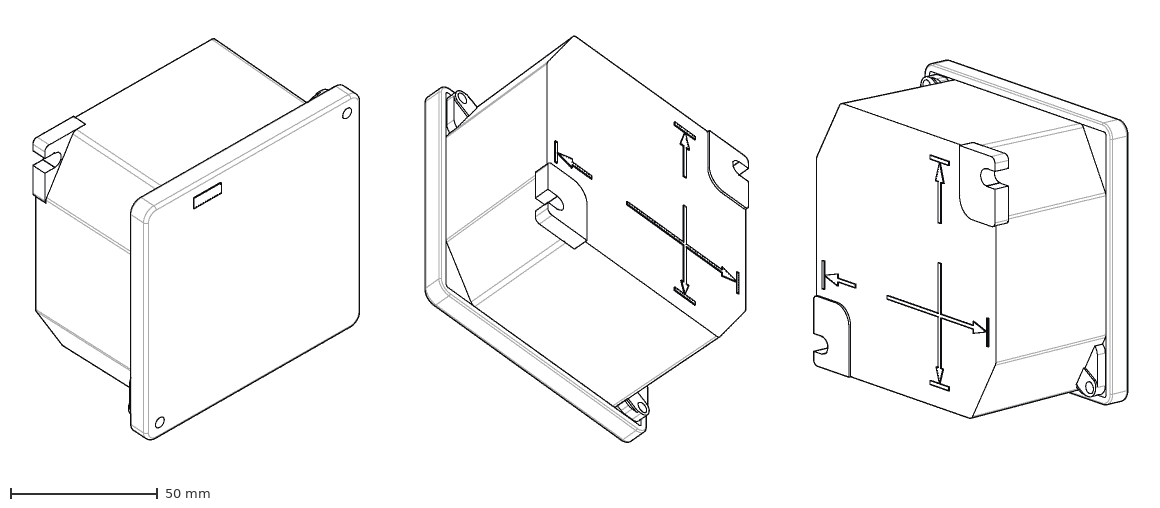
import cadquery as cq
import math

FACE_X = 0.8
MARK_X = 0.4
FOOT_X = 6.0
SCREW_PAD_X = 45.9
EAR_X = 46.6
LID_REAR_X = 50.1
LID_FRONT_X = 58.1
LABEL_X = 58.5

LID_SIZE = 100.2
LID_CORNER_RADIUS = 4.8
LID_FRONT_RADIUS = 1.2
LID_REAR_RADIUS = 0.6
LABEL_LENGTH = 12.6
LABEL_HEIGHT = 4.5
LABEL_CENTRE_Y = -21.6
LABEL_CENTRE_Z = 42.8

RIM_SIZE = 94.4
RIM_DEPTH = 4.0
RIM_CORNER_RADIUS = 0.9

BOX_HALF = 48.1
BOX_DRAFT = 1.0
CUT_ANGLE = math.radians(60)
CUT_Y = 13.0
CUT_Z = CUT_Y * math.tan(CUT_ANGLE)
BOX_EDGE_RADIUS = 2.0

EAR_HALF = 46.9
EAR_CORNER_RADIUS = 4.0
EAR_SPAN = (1.9, 21.4)
EAR_END_RADIUS = 3.5
SCREW_PAD_SPAN = (12.1, 20.0)
SCREW_PAD_END_RADIUS = 2.5
EAR_ROOT = 45.1
SCREW_PLACE = 43.6
SCREW_DIAMETER = 4.1

FOOT_OUTER_Y = 48.6
FOOT_INNER_Y = 29.6
FOOT_TOP_Z = 48.1
FOOT_BOTTOM_Z = 23.2
FOOT_INNER_RADIUS = 7.0
FOOT_CORNER_RADIUS = 2.0
FOOT_SIDE_RADIUS = 1.7
SLOT_Y = 44.0
SLOT_Z = 40.1
SLOT_END_DIAMETER = 6.0
SLOT_MOUTH_WIDTH = 6.3

SHAFT_WIDTH = 1.3
END_BAR_LENGTH = 10.0
ACROSS_Z = -15.1
ACROSS_BAR_WIDTH = 1.0
ACROSS_TIP = 43.5
ACROSS_HEAD_LENGTH = 7.2
ACROSS_GAP = (9.7, 26.7)
UP_Y = -18.3
UP_BAR_WIDTH = 1.4
UP_TIP = 39.4
UP_HEAD_LENGTH = 7.0
DOWN_HEAD_LENGTH = 5.6
UP_GAP = (3.5, 17.7)
HEAD_WIDTH = 4.3
DOWN_HEAD_WIDTH = 3.6


def plane(x):
    """Workplane across X at the given place; its local axes are Y and Z."""
    return cq.Workplane("YZ", origin=(x, 0, 0))


def block(x_start, x_end, y_range, z_range):
    size_y = y_range[1] - y_range[0]
    size_z = z_range[1] - z_range[0]
    centre = (sum(y_range) / 2, sum(z_range) / 2)
    return plane(x_start).center(*centre).rect(size_y, size_z).extrude(x_end - x_start)


def opposite(shape):
    """The same shape at the diagonally opposite corner."""
    return shape.rotate((0, 0, 0), (1, 0, 0), 180)


def make_rim():
    rim = plane(LID_REAR_X).rect(RIM_SIZE, RIM_SIZE).extrude(RIM_DEPTH)
    return rim.edges("|X").fillet(RIM_CORNER_RADIUS)


def make_shell():
    """Drafted octagonal box from its rear face to the lid."""
    flat_y = BOX_HALF - CUT_Y
    flat_z = BOX_HALF - CUT_Z
    outline = [
        (flat_y, BOX_HALF), (BOX_HALF, flat_z), (BOX_HALF, -flat_z), (flat_y, -BOX_HALF),
        (-flat_y, -BOX_HALF), (-BOX_HALF, -flat_z), (-BOX_HALF, flat_z), (-flat_y, BOX_HALF),
    ]
    shell = plane(FACE_X).polyline(outline).close().extrude(LID_REAR_X - FACE_X, taper=BOX_DRAFT)
    return shell.edges("not(#X)").fillet(BOX_EDGE_RADIUS)


def ear_block(x_start, span, end_radius):
    """Corner block of the +Y +Z ear between two end walls square to the cut corner."""
    along = (-math.cos(CUT_ANGLE), math.sin(CUT_ANGLE))
    outward = (math.sin(CUT_ANGLE), math.cos(CUT_ANGLE))
    start, end = span

    def root(place):
        return (EAR_ROOT * outward[0] + place * along[0], EAR_ROOT * outward[1] + place * along[1])

    side_end = (EAR_HALF, (start - EAR_HALF * along[0]) / along[1])
    top_end = ((end - EAR_HALF * along[1]) / along[0], EAR_HALF)
    corner = (EAR_HALF, EAR_HALF)
    outline = [root(start), side_end, corner, top_end, root(end)]
    ear = plane(x_start).polyline(outline).close().extrude(LID_REAR_X - x_start)
    rounded = [(corner, EAR_CORNER_RADIUS), (side_end, end_radius), (top_end, end_radius)]
    mid_x = (x_start + LID_REAR_X) / 2
    for point, radius in rounded:
        edge = cq.selectors.NearestToPointSelector((mid_x, *point))
        ear = ear.edges("|X").edges(edge).fillet(radius)
    return ear


def make_ear():
    screw_pad = ear_block(SCREW_PAD_X, SCREW_PAD_SPAN, SCREW_PAD_END_RADIUS)
    return ear_block(EAR_X, EAR_SPAN, EAR_END_RADIUS).union(screw_pad)


def make_screw_hole():
    hole = plane(SCREW_PAD_X).center(SCREW_PLACE, SCREW_PLACE).circle(SCREW_DIAMETER / 2)
    return hole.extrude(LID_FRONT_X - SCREW_PAD_X)


def make_foot():
    """Foot at the -Y +Z corner."""
    foot = block(0, FOOT_X, (-FOOT_OUTER_Y, -FOOT_INNER_Y), (FOOT_BOTTOM_Z, FOOT_TOP_Z))
    foot = foot.edges("|X and >Y and <Z").fillet(FOOT_INNER_RADIUS)
    foot = foot.edges("|X and <Y and >Z").fillet(FOOT_CORNER_RADIUS)
    return foot.edges("|X and <Y and <Z").fillet(FOOT_SIDE_RADIUS)


def make_foot_slot():
    """Slot open towards -Y with a round inner end; it stops where the foot stops."""
    half_width = SLOT_MOUTH_WIDTH / 2
    slot = block(0, FOOT_X, (-FOOT_OUTER_Y, -SLOT_Y), (SLOT_Z - half_width, SLOT_Z + half_width))
    return slot.union(plane(0).center(-SLOT_Y, SLOT_Z).circle(SLOT_END_DIAMETER / 2).extrude(FOOT_X))


def make_arrow(start, tip, head_length, head_width):
    """Raised arrow along local Y from start to tip, centred on Z = 0."""
    side = math.copysign(1, tip - start)
    neck = tip - side * head_length
    half_shaft = SHAFT_WIDTH / 2
    half_head = head_width / 2
    outline = [
        (start, -half_shaft), (neck, -half_shaft), (neck, -half_head), (tip, 0),
        (neck, half_head), (neck, half_shaft), (start, half_shaft),
    ]
    return plane(MARK_X).polyline(outline).close().extrude(FACE_X - MARK_X)


def make_end_bars(distance, width):
    """Two raised bars square to local Y, at plus and minus the given distance."""
    bars = plane(MARK_X).pushPoints([(-distance, 0), (distance, 0)]).rect(width, END_BAR_LENGTH)
    return bars.extrude(FACE_X - MARK_X)


def make_dimension_marks():
    gap_start, gap_end = ACROSS_GAP
    across = [
        make_arrow(gap_end, ACROSS_TIP, ACROSS_HEAD_LENGTH, HEAD_WIDTH),
        make_arrow(gap_start, -ACROSS_TIP, ACROSS_HEAD_LENGTH, HEAD_WIDTH),
        make_end_bars(SLOT_Y, ACROSS_BAR_WIDTH),
    ]
    gap_start, gap_end = UP_GAP
    up = [
        make_arrow(gap_end, UP_TIP, UP_HEAD_LENGTH, HEAD_WIDTH),
        make_arrow(gap_start, -UP_TIP, DOWN_HEAD_LENGTH, DOWN_HEAD_WIDTH),
        make_end_bars(SLOT_Z, UP_BAR_WIDTH),
    ]
    placed_across = [mark.translate((0, 0, ACROSS_Z)) for mark in across]
    placed_up = [mark.rotate((0, 0, 0), (1, 0, 0), 90).translate((0, UP_Y, 0)) for mark in up]
    return placed_across + placed_up


def make_box():
    box = make_shell().union(make_rim())
    ear = make_ear()
    hole = make_screw_hole()
    foot = make_foot()
    slot = make_foot_slot()
    for part in (ear, opposite(ear), foot, opposite(foot), *make_dimension_marks()):
        box = box.union(part)
    for opening in (hole, opposite(hole), slot, opposite(slot)):
        box = box.cut(opening)
    return box


def make_lid():
    lid = plane(LID_REAR_X).rect(LID_SIZE, LID_SIZE).extrude(LID_FRONT_X - LID_REAR_X)
    lid = lid.edges("|X").fillet(LID_CORNER_RADIUS)
    lid = lid.faces(">X").edges().fillet(LID_FRONT_RADIUS)
    lid = lid.faces("<X").edges().fillet(LID_REAR_RADIUS)
    label = plane(LID_FRONT_X).center(LABEL_CENTRE_Y, LABEL_CENTRE_Z).rect(LABEL_LENGTH, LABEL_HEIGHT)
    lid = lid.union(label.extrude(LABEL_X - LID_FRONT_X))
    hole = make_screw_hole()
    return lid.cut(make_rim()).cut(hole).cut(opposite(hole))


box = make_box()
lid = make_lid()
result = cq.Compound.makeCompound([*box.solids().vals(), *lid.solids().vals()])